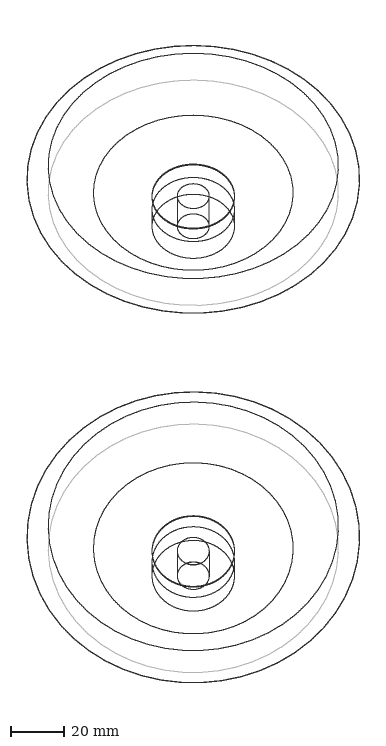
import cadquery as cq

wheel_radius = 62.5
total_height = 36.0
rim_round_radius = 8.0
hub_radius = 15.5
bore_radius = 6.0
hub_top = 18.0
dish_outer_bottom = 10.0
dish_inner_bottom = 17.5
underside_radius = 37.5

rim_edge_radius = wheel_radius - rim_round_radius
rim_bottom = total_height - 2 * rim_round_radius
rim_middle = total_height - rim_round_radius

section = (
    cq.Workplane("XZ")
    .moveTo(bore_radius, 0)
    .lineTo(hub_radius, 0)
    .lineTo(hub_radius, dish_outer_bottom)
    .lineTo(underside_radius, rim_bottom)
    .lineTo(rim_edge_radius, rim_bottom)
    .threePointArc((wheel_radius, rim_middle), (rim_edge_radius, total_height))
    .lineTo(hub_radius, dish_inner_bottom)
    .lineTo(hub_radius, hub_top)
    .lineTo(bore_radius, hub_top)
    .close()
)

result = section.revolve(360, (0, 0, 0), (0, 1, 0))